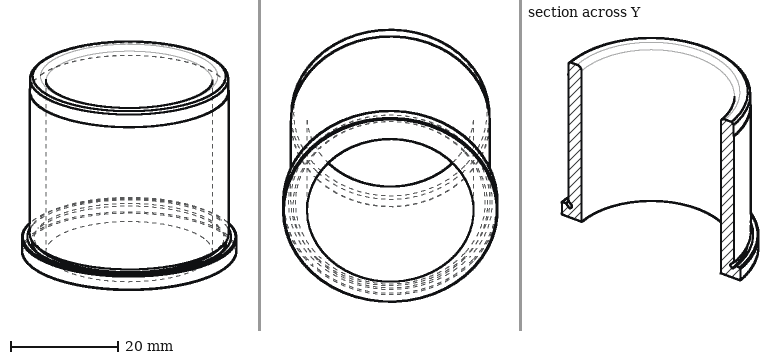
import cadquery as cq

flange_diameter = 40.0
flange_height = 2.95
flange_chamfer = 0.2
total_height = 35.0
body_diameter = 37.1
bore_diameter = 31.0

lead_diameter = 36.9
lead_height = 3.0
lead_chamfer = 0.5

undercut_body_height = 0.7
undercut_flange_width = 0.45
undercut_depth = 0.9

mouth_radius = 1.0

flange_radius = flange_diameter / 2
body_radius = body_diameter / 2
bore_radius = bore_diameter / 2
lead_radius = lead_diameter / 2
undercut_top = flange_height + undercut_body_height
undercut_rim = body_radius + undercut_flange_width
lead_bottom = total_height - lead_height

section = (
    cq.Workplane("XZ")
    .moveTo(bore_radius, 0)
    .lineTo(flange_radius - flange_chamfer, 0)
    .lineTo(flange_radius, flange_chamfer)
    .lineTo(flange_radius, flange_height - flange_chamfer)
    .lineTo(flange_radius - flange_chamfer, flange_height)
    .lineTo(undercut_rim, flange_height)
    .lineTo(undercut_rim - undercut_depth, flange_height - undercut_depth)
    .lineTo(body_radius - undercut_depth, undercut_top - undercut_depth)
    .lineTo(body_radius, undercut_top)
    .lineTo(body_radius, lead_bottom)
    .lineTo(lead_radius, lead_bottom)
    .lineTo(lead_radius, total_height - lead_chamfer)
    .lineTo(lead_radius - lead_chamfer, total_height)
    .lineTo(bore_radius + mouth_radius, total_height)
    .radiusArc((bore_radius, total_height - mouth_radius), -mouth_radius)
    .close()
)

result = section.revolve(360, (0, 0, 0), (0, 1, 0))